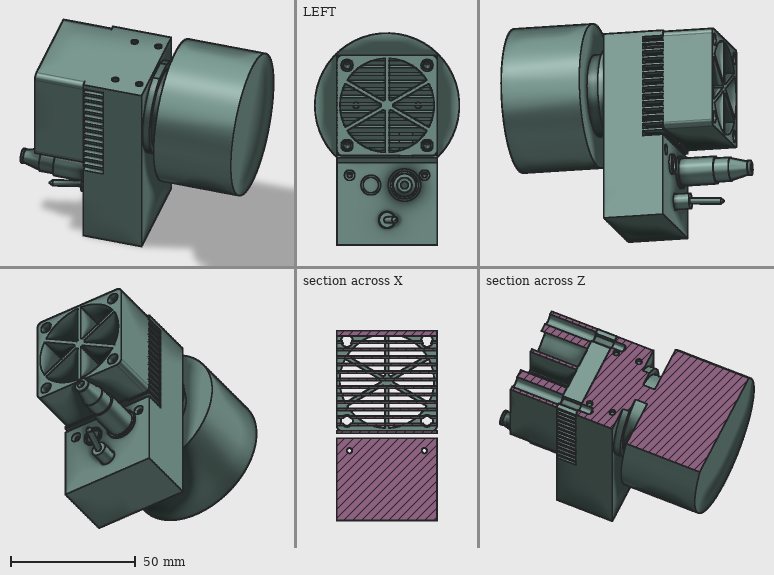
import cadquery as cq
import math

OVERALL_LENGTH = 94.3
OVERALL_HEIGHT = 85.0

BARREL_DIAMETER = 58.0
BARREL_RADIUS = BARREL_DIAMETER / 2
BARREL_START = 32.3
NECK_RADIUS = 16.5
FLANGE_RADIUS = 18.9
FLANGE_FLAT_DISTANCE = 18.2
FLANGE_THICKNESS = 2.8
AXIS_HEIGHT = OVERALL_HEIGHT - BARREL_RADIUS

FAN_WIDTH = 40.3
FAN_DEPTH = 20.3
FAN_CORNER_RADIUS = 2.3
FAN_BORE_RADIUS = 18.9
FAN_HUB_RADIUS = 2.4
FAN_SPOKE_WIDTH = 1.6
FAN_SPOKE_LINES = 3
FAN_SCREW_OFFSET = 16.0
FAN_SCREW_CLEARANCE_RADIUS = 2.4
FIN_SCREW_CLEARANCE_RADIUS = 1.9
FAN_SCREW_TAP_RADIUS = 1.5
FAN_SCREW_TAP_DEPTH = 13.2

HOUSING_DEPTH = 24.5
HOUSING_HEIGHT = AXIS_HEIGHT + FAN_WIDTH / 2
SLOT_COUNT = 14
SLOT_HEIGHT = 2.0
SLOT_STACK_HEIGHT = 40.9
SLOT_PITCH = (SLOT_STACK_HEIGHT - SLOT_HEIGHT) / (SLOT_COUNT - 1)
SLOT_DEPTH = 8.4
TOP_SLOT_COVER = 2.2

PAD_COUNT = 4
PAD_WIDTH = 5.3
PAD_CENTER_Y = -7.5
PAD_THICKNESS = 0.9

FLOOR_HOLE_RADIUS = 1.2
FLOOR_HOLE_OFFSET = 12.45
FLOOR_HOLE_DEPTH = 2.8

TOP_HOLE_ROW_GAP = 25.9
TOP_HOLE_PITCH = 10.0
TOP_HOLE_EDGE_DISTANCE = 3.2
TOP_HOLE_MOUTH_RADIUS = 1.4
TOP_HOLE_RADIUS = 1.1
TOP_HOLE_MOUTH_DEPTH = 0.3
TOP_HOLE_DEPTH = 5.7
DRILL_TIP_ANGLE = math.radians(118)

SINK_OFFSET = 15.0
SINK_HEIGHT = 28.0
SINK_MOUTH_RADIUS = 2.1
SINK_HOLE_RADIUS = 1.0
SINK_MOUTH_DEPTH = 1.0
SINK_HOLE_DEPTH = 5.7

CONNECTOR_HEIGHT = 24.0
CABLE_CENTER_Y = -7.0
CABLE_COLLAR_RADIUS = 6.5
CABLE_COLLAR_END = 0.9
CABLE_BODY_RADIUS = 5.6
CABLE_BODY_END = 15.1
CABLE_SLEEVE_RADIUS = 4.8
CABLE_SLEEVE_END = 21.2
CABLE_CONE_BASE_RADIUS = 4.5
CABLE_CONE_TIP_RADIUS = 2.6
CABLE_LIP_RADIUS = 3.0
CABLE_LIP_WIDTH = 1.1
CABLE_LIP_ROUNDING = 0.5
CABLE_LENGTH = 29.6
CABLE_BORE_RADIUS = 1.5
CABLE_BORE_DEPTH = 5.7
SOCKET_CENTER_Y = 6.5
SOCKET_RADIUS = 4.0
SOCKET_BORE_RADIUS = 3.1
SOCKET_PROJECTION = 0.9

SWITCH_HEIGHT = 10.1
SWITCH_BUSHING_RADIUS = 3.1
SWITCH_BUSHING_LENGTH = 6.2
SWITCH_OPENING_RADIUS = 3.4
SWITCH_OPENING_DEPTH = 0.9
LEVER_RADIUS = 1.2
LEVER_LENGTH = 12.1
LEVER_TIP_LENGTH = 1.4
LEVER_TIP_RADIUS = 0.2
LEVER_TILT = 15.0


def rod(start_x, end_x, radius, y=0.0, z=AXIS_HEIGHT):
    """Round bar along X."""
    return cq.Workplane("YZ", origin=(start_x, y, z)).circle(radius).extrude(end_x - start_x)


def box(start_x, end_x, y, width, bottom, top):
    """Block centred on y in its width."""
    size = (end_x - start_x, width, top - bottom)
    corner = (start_x, y - width / 2, bottom)
    return cq.Workplane("XY").box(*size, centered=False).translate(corner)


def turned(profile):
    """Solid of revolution about Z from (radius, height) points, closed along the axis."""
    return cq.Workplane("XZ").polyline(profile).close().revolve(360, (0, 0, 0), (0, 1, 0))


def pointing_rearward(solid, y, z):
    """Turn a solid standing on Z = 0 so that its +Z points along -X from the rear face."""
    return solid.rotate((0, 0, 0), (0, 1, 0), -90).translate((0, y, z))


def drilled_hole(mouth_radius, mouth_depth, radius, depth):
    """Blind hole below Z = 0 with a conical mouth and a drill-point bottom."""
    tip_depth = radius / math.tan(DRILL_TIP_ANGLE / 2)
    return turned([
        (0, 0),
        (mouth_radius, 0),
        (radius, -mouth_depth),
        (radius, -depth),
        (0, -depth - tip_depth),
    ])


def slot_top(index):
    return HOUSING_HEIGHT - TOP_SLOT_COVER - index * SLOT_PITCH


def make_housing():
    housing = box(0, HOUSING_DEPTH, 0, FAN_WIDTH, 0, HOUSING_HEIGHT)
    for index in range(SLOT_COUNT):
        top = slot_top(index)
        housing = housing.cut(box(0, SLOT_DEPTH, 0, FAN_WIDTH, top - SLOT_HEIGHT, top))
    for side in (-1, 1):
        floor_end = SLOT_DEPTH + FLOOR_HOLE_DEPTH
        housing = housing.cut(rod(SLOT_DEPTH, floor_end, FLOOR_HOLE_RADIUS, side * FLOOR_HOLE_OFFSET))
    return housing


def make_fin_pads():
    pads = cq.Workplane("XY")
    for fin in range(SLOT_COUNT - 1 - PAD_COUNT, SLOT_COUNT - 1):
        fin_top = slot_top(fin) - SLOT_HEIGHT
        fin_bottom = slot_top(fin + 1)
        pads = pads.add(box(-PAD_THICKNESS, 0, PAD_CENTER_Y, PAD_WIDTH, fin_bottom, fin_top))
    return pads.combine()


def make_fan():
    frame = box(-FAN_DEPTH, 0, 0, FAN_WIDTH, HOUSING_HEIGHT - FAN_WIDTH, HOUSING_HEIGHT)
    frame = frame.edges("|X").fillet(FAN_CORNER_RADIUS)
    frame = frame.cut(rod(-FAN_DEPTH, 0, FAN_BORE_RADIUS))
    spider = rod(-FAN_DEPTH, 0, FAN_HUB_RADIUS)
    spoke_bottom = AXIS_HEIGHT - FAN_BORE_RADIUS
    spoke_top = AXIS_HEIGHT + FAN_BORE_RADIUS
    spoke = box(-FAN_DEPTH, 0, 0, FAN_SPOKE_WIDTH, spoke_bottom, spoke_top)
    for index in range(FAN_SPOKE_LINES):
        angle = index * 180 / FAN_SPOKE_LINES
        spider = spider.union(spoke.rotate((0, 0, AXIS_HEIGHT), (1, 0, AXIS_HEIGHT), angle))
    return frame.union(spider)


def cut_fan_screw_holes(body):
    """Clearance through the fan and fins, then a tapped hole in the solid part of the housing."""
    tapped = drilled_hole(FAN_SCREW_TAP_RADIUS, SLOT_DEPTH, FAN_SCREW_TAP_RADIUS, FAN_SCREW_TAP_DEPTH)
    for y_side in (-1, 1):
        for z_side in (-1, 1):
            y = y_side * FAN_SCREW_OFFSET
            z = AXIS_HEIGHT + z_side * FAN_SCREW_OFFSET
            body = body.cut(rod(-FAN_DEPTH, 0, FAN_SCREW_CLEARANCE_RADIUS, y, z))
            body = body.cut(rod(0, SLOT_DEPTH, FIN_SCREW_CLEARANCE_RADIUS, y, z))
            body = body.cut(pointing_rearward(tapped, y, z))
    return body


def cut_top_holes(body):
    hole = drilled_hole(TOP_HOLE_MOUTH_RADIUS, TOP_HOLE_MOUTH_DEPTH, TOP_HOLE_RADIUS, TOP_HOLE_DEPTH)
    front_x = HOUSING_DEPTH - TOP_HOLE_EDGE_DISTANCE
    for x in (front_x - TOP_HOLE_PITCH, front_x):
        for side in (-1, 1):
            body = body.cut(hole.translate((x, side * TOP_HOLE_ROW_GAP / 2, HOUSING_HEIGHT)))
    return body


def cut_rear_holes(body):
    hole = drilled_hole(SINK_MOUTH_RADIUS, SINK_MOUTH_DEPTH, SINK_HOLE_RADIUS, SINK_HOLE_DEPTH)
    for side in (-1, 1):
        body = body.cut(pointing_rearward(hole, side * SINK_OFFSET, SINK_HEIGHT))
    return body


def make_barrel():
    flange_end = HOUSING_DEPTH + FLANGE_THICKNESS
    flange = rod(HOUSING_DEPTH, flange_end, FLANGE_RADIUS)
    flange = flange.intersect(box(
        HOUSING_DEPTH,
        flange_end,
        0,
        2 * FLANGE_RADIUS,
        AXIS_HEIGHT - FLANGE_FLAT_DISTANCE,
        AXIS_HEIGHT + FLANGE_FLAT_DISTANCE,
    ))
    neck = rod(flange_end, BARREL_START, NECK_RADIUS)
    barrel = rod(BARREL_START, OVERALL_LENGTH - CABLE_LENGTH, BARREL_RADIUS)
    return flange.union(neck).union(barrel)


def make_cable_plug():
    """Stepped plug with a tapered strain relief ending in a lip."""
    lip_start = CABLE_LENGTH - CABLE_LIP_WIDTH
    bore_end = CABLE_LENGTH - CABLE_BORE_DEPTH
    plug = turned([
        (0, 0),
        (CABLE_COLLAR_RADIUS, 0),
        (CABLE_COLLAR_RADIUS, CABLE_COLLAR_END),
        (CABLE_BODY_RADIUS, CABLE_COLLAR_END),
        (CABLE_BODY_RADIUS, CABLE_BODY_END),
        (CABLE_SLEEVE_RADIUS, CABLE_BODY_END),
        (CABLE_SLEEVE_RADIUS, CABLE_SLEEVE_END),
        (CABLE_CONE_BASE_RADIUS, CABLE_SLEEVE_END),
        (CABLE_CONE_TIP_RADIUS, lip_start),
        (CABLE_LIP_RADIUS, lip_start),
        (CABLE_LIP_RADIUS, CABLE_LENGTH),
        (CABLE_BORE_RADIUS, CABLE_LENGTH),
        (CABLE_BORE_RADIUS, bore_end),
        (0, bore_end),
    ])
    lip_edge = plug.faces(">Z").edges(cq.selectors.RadiusNthSelector(-1))
    plug = lip_edge.fillet(CABLE_LIP_ROUNDING)
    return pointing_rearward(plug, CABLE_CENTER_Y, CONNECTOR_HEIGHT)


def make_socket():
    ring = rod(-SOCKET_PROJECTION, 0, SOCKET_RADIUS, SOCKET_CENTER_Y, CONNECTOR_HEIGHT)
    return ring.cut(rod(-SOCKET_PROJECTION, 0, SOCKET_BORE_RADIUS, SOCKET_CENTER_Y, CONNECTOR_HEIGHT))


def make_switch():
    """Bushing and a tilted lever with a conical tip."""
    bushing = rod(-SWITCH_BUSHING_LENGTH, SWITCH_OPENING_DEPTH, SWITCH_BUSHING_RADIUS, 0, SWITCH_HEIGHT)
    lever = turned([
        (0, -LEVER_RADIUS),
        (LEVER_RADIUS, -LEVER_RADIUS),
        (LEVER_RADIUS, LEVER_LENGTH),
        (LEVER_TIP_RADIUS, LEVER_LENGTH + LEVER_TIP_LENGTH),
        (0, LEVER_LENGTH + LEVER_TIP_LENGTH),
    ])
    lever = pointing_rearward(lever, 0, 0).rotate((0, 0, 0), (0, 0, 1), LEVER_TILT)
    return bushing.union(lever.translate((-SWITCH_BUSHING_LENGTH, 0, SWITCH_HEIGHT)))


result = make_housing().union(make_fan()).union(make_fin_pads()).union(make_barrel())
result = cut_fan_screw_holes(result)
result = cut_top_holes(result)
result = cut_rear_holes(result)
result = result.cut(rod(0, SWITCH_OPENING_DEPTH, SWITCH_OPENING_RADIUS, 0, SWITCH_HEIGHT))
result = result.union(make_switch()).union(make_cable_plug()).union(make_socket())